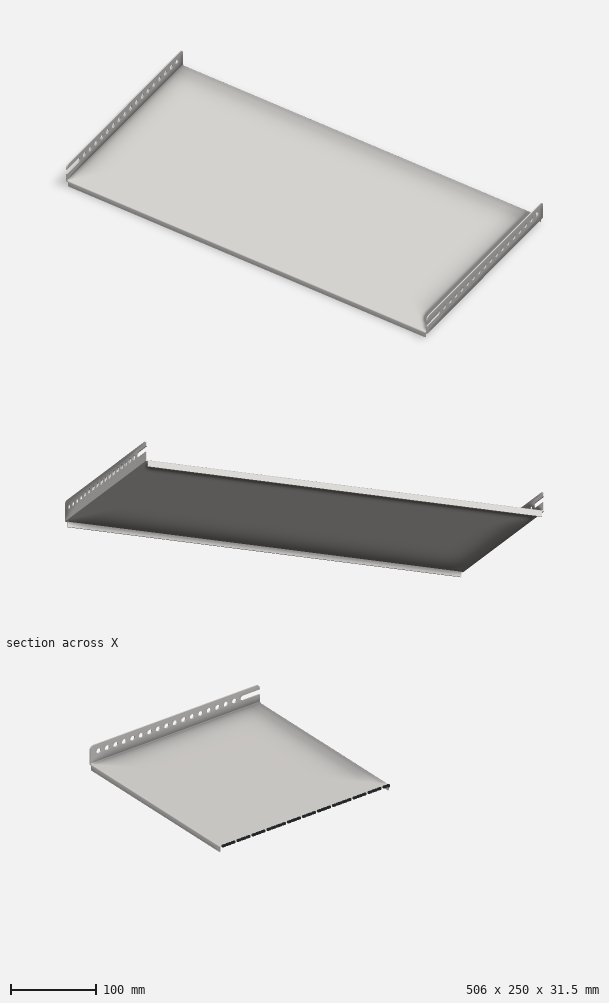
import cadquery as cq

LENGTH_X = 506.0
DEPTH_Y = 250.0
SHEET = 1.5
FLANGE_HEIGHT = 25.0
LIP_HEIGHT = 8.0

PANEL_TOP = SHEET
LIP_BOTTOM = PANEL_TOP - LIP_HEIGHT

LIP_INNER_RADIUS = 0.05
LIP_OUTER_RADIUS = LIP_INNER_RADIUS + SHEET
FLANGE_INNER_RADIUS = 1.0

PANEL_LENGTH = LENGTH_X - 2 * (SHEET + FLANGE_INNER_RADIUS)

FLANGE_CORNER_RADIUS = 5.0
HOLE_DIAMETER = 6.5
HOLE_PITCH = 12.5
HOLE_COUNT = 17
HOLE_DEPTH_BELOW_TOP = 10.0
HOLE_LEVEL = FLANGE_HEIGHT - HOLE_DEPTH_BELOW_TOP
FIRST_HOLE_Y = DEPTH_Y / 2 - HOLE_PITCH
SLOT_END_Y = FIRST_HOLE_Y - HOLE_COUNT * HOLE_PITCH


def panel_with_lips():
    """Shelf panel with a lip folded down along its front and back edges."""
    outer = (
        cq.Workplane("XY", origin=(0, 0, LIP_BOTTOM))
        .box(PANEL_LENGTH, DEPTH_Y, LIP_HEIGHT, centered=(True, True, False))
        .edges("|X and >Z")
        .fillet(LIP_OUTER_RADIUS)
    )
    inner = (
        cq.Workplane("XY", origin=(0, 0, LIP_BOTTOM))
        .box(PANEL_LENGTH, DEPTH_Y - 2 * SHEET, LIP_HEIGHT - SHEET, centered=(True, True, False))
        .edges("|X and >Z")
        .fillet(LIP_INNER_RADIUS)
    )
    return outer.cut(inner)


def side_flange(side):
    """Upturned flange and its foot at one X end; side is -1 for left, +1 for right."""
    outer_x = side * LENGTH_X / 2
    inner_x = outer_x - side * SHEET
    foot_x = side * PANEL_LENGTH / 2
    bend_top = PANEL_TOP + FLANGE_INNER_RADIUS
    return (
        cq.Workplane("XZ")
        .moveTo(foot_x, 0)
        .lineTo(outer_x, 0)
        .lineTo(outer_x, FLANGE_HEIGHT)
        .lineTo(inner_x, FLANGE_HEIGHT)
        .lineTo(inner_x, bend_top)
        .radiusArc((foot_x, PANEL_TOP), side * FLANGE_INNER_RADIUS)
        .close()
        .extrude(DEPTH_Y / 2, both=True)
        .faces(">Z")
        .edges("|X")
        .fillet(FLANGE_CORNER_RADIUS)
    )


def mounting_holes():
    """Cutters for the row of round holes through both side flanges."""
    positions = [
        (FIRST_HOLE_Y - index * HOLE_PITCH, HOLE_LEVEL)
        for index in range(HOLE_COUNT)
    ]
    return (
        cq.Workplane("YZ")
        .pushPoints(positions)
        .circle(HOLE_DIAMETER / 2)
        .extrude(LENGTH_X / 2, both=True)
    )


def mounting_slot():
    """Cutter for the round-ended slot open at the front edge of both side flanges."""
    radius = HOLE_DIAMETER / 2
    front_y = -DEPTH_Y / 2
    return (
        cq.Workplane("YZ")
        .moveTo(front_y, HOLE_LEVEL - radius)
        .lineTo(SLOT_END_Y, HOLE_LEVEL - radius)
        .threePointArc((SLOT_END_Y + radius, HOLE_LEVEL), (SLOT_END_Y, HOLE_LEVEL + radius))
        .lineTo(front_y, HOLE_LEVEL + radius)
        .close()
        .extrude(LENGTH_X / 2, both=True)
    )


result = panel_with_lips()
for end in (-1, 1):
    result = result.union(side_flange(end))
result = result.cut(mounting_holes()).cut(mounting_slot())